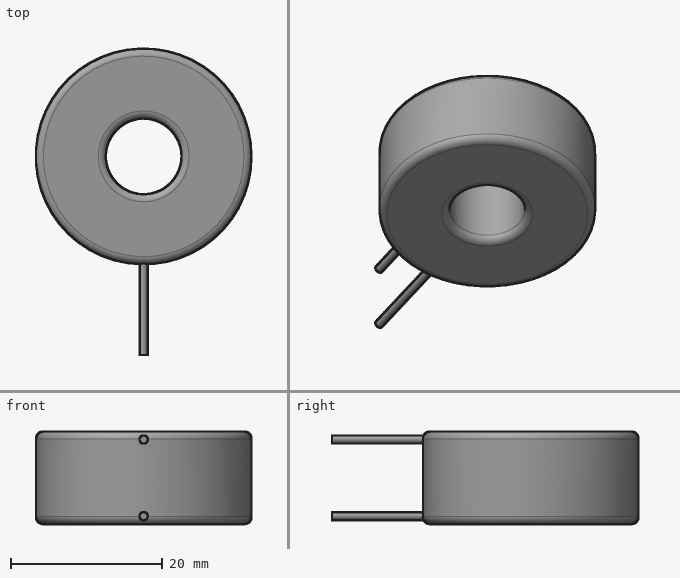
import cadquery as cq

RING_DIAMETER = 28.6
RING_HEIGHT = 12.3
BORE_DIAMETER = 10.0
EDGE_RADIUS = 1.0

OVERALL_LENGTH = 40.6
LEAD_DIAMETER = 1.1
LEAD_SPACING = 10.15

RING_RADIUS = RING_DIAMETER / 2
LEAD_END_Y = RING_RADIUS - OVERALL_LENGTH
LEAD_START_Y = -RING_RADIUS + 2 * EDGE_RADIUS


def make_housing():
    """Ring with rounded outer and bore edges at both ends."""
    ring = (
        cq.Workplane("XY", origin=(0, 0, -RING_HEIGHT / 2))
        .circle(RING_RADIUS)
        .circle(BORE_DIAMETER / 2)
        .extrude(RING_HEIGHT)
    )
    return ring.faces("|Z").edges().fillet(EDGE_RADIUS)


def make_lead(height, ring):
    """Round wire at the given height whose inner end fits the ring surface."""
    wire = (
        cq.Workplane("XZ", origin=(0, LEAD_START_Y, height))
        .circle(LEAD_DIAMETER / 2)
        .extrude(LEAD_START_Y - LEAD_END_Y)
    )
    return wire.cut(ring).solids("<Y")


housing = make_housing()

leads = []
for lead_height in (LEAD_SPACING / 2, -LEAD_SPACING / 2):
    leads.append(make_lead(lead_height, housing).val())

result = cq.Compound.makeCompound([housing.val(), *leads])